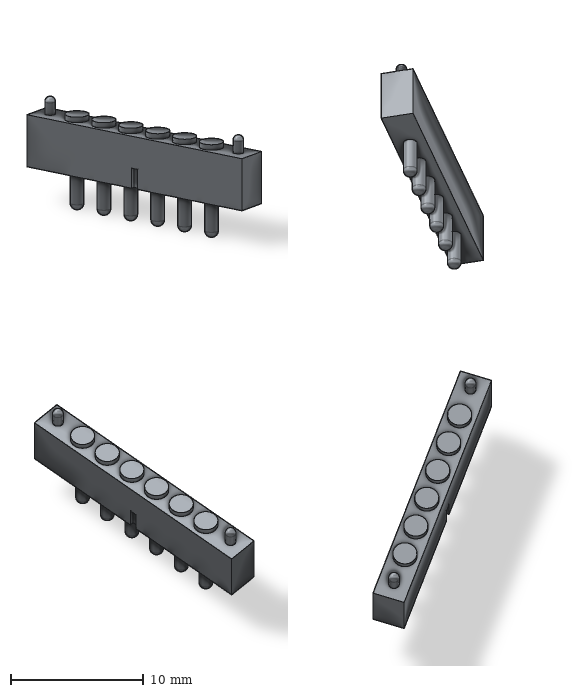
import cadquery as cq

housing_length = 20.32
housing_width = 2.5
housing_height = 4.1

contact_count = 6
contact_pitch = housing_length / 8
pad_diameter = 1.83
pad_height = 0.43
pin_diameter = 1.05
pin_length_below = 3.0

peg_diameter = 0.81
peg_height = 1.38

notch_width = 0.57
notch_height = 1.58
notch_depth = 0.3

first_contact_x = -contact_pitch * (contact_count - 1) / 2
contact_positions = [first_contact_x + i * contact_pitch for i in range(contact_count)]
peg_offset = contact_pitch - first_contact_x


def domed_rod(diameter, length):
    """Rod along Z from the origin up to a hemispherical tip at Z = length."""
    radius = diameter / 2
    shoulder = length - radius
    arc_offset = radius * 0.5 ** 0.5
    return (
        cq.Workplane("XZ")
        .lineTo(radius, 0)
        .lineTo(radius, shoulder)
        .threePointArc((arc_offset, shoulder + arc_offset), (0, length))
        .close()
        .revolve(360, (0, 0, 0), (0, 1, 0))
    )


def make_housing():
    """Block with a pin hole per contact, a notch and two domed pegs."""
    block = cq.Workplane("XY").box(
        housing_length, housing_width, housing_height, centered=(True, True, False)
    )
    pin_holes = (
        cq.Workplane("XY")
        .pushPoints([(x, 0) for x in contact_positions])
        .circle(pin_diameter / 2)
        .extrude(housing_height)
    )
    notch = (
        cq.Workplane("XY")
        .box(notch_width, notch_depth, notch_height, centered=(True, False, False))
        .translate((0, -housing_width / 2, 0))
    )
    body = block.cut(pin_holes).cut(notch)
    for x in (-peg_offset, peg_offset):
        body = body.union(domed_rod(peg_diameter, peg_height).translate((x, 0, housing_height)))
    return body


def make_contact(x):
    """Pad resting on the housing, with its pin reaching down to a domed tip."""
    pad = (
        cq.Workplane("XY")
        .workplane(offset=housing_height)
        .circle(pad_diameter / 2)
        .extrude(pad_height)
    )
    pin = (
        domed_rod(pin_diameter, housing_height + pin_length_below)
        .rotate((0, 0, 0), (1, 0, 0), 180)
        .translate((0, 0, housing_height))
    )
    return pad.union(pin).translate((x, 0, 0))


housing = make_housing()
contacts = [make_contact(x) for x in contact_positions]

housing_solid = housing.solids().val()
contact_solids = [contact.solids().val() for contact in contacts]

result = cq.Compound.makeCompound([housing_solid, *contact_solids])